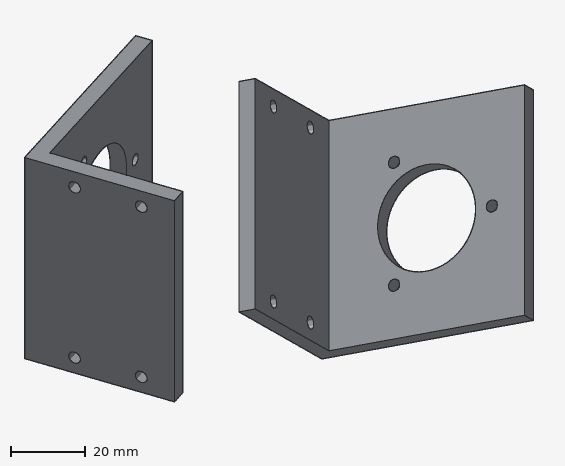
import cadquery as cq

height = 65.0
long_leg = 65.0
short_leg = 45.0
thickness = 5.0

mount_hole_diameter = 3.5
mount_spacing_x = 20.0
mount_center_x = 25.0
mount_edge_distance = thickness

bore_diameter = 30.0
bore_center_y = 35.0
screw_circle_radius = 20.0
screw_hole_diameter = 3.4
screw_count = 3


def make_angle():
    """L-shaped profile extruded along Z."""
    long_plate = cq.Workplane("XY").box(thickness, long_leg, height, centered=False)
    short_plate = cq.Workplane("XY").box(short_leg, thickness, height, centered=False)
    return long_plate.union(short_plate)


def make_mount_holes():
    """Four cylinders running along +Y through the short leg."""
    return (
        cq.Workplane("XZ", origin=(mount_center_x, 0, height / 2))
        .rarray(mount_spacing_x, height - 2 * mount_edge_distance, 2, 2)
        .circle(mount_hole_diameter / 2)
        .extrude(-thickness)
    )


def make_bore_pattern():
    """Bore and screw holes running along +X; the first screw is on the +Y side."""
    plane = cq.Workplane("YZ", origin=(0, bore_center_y, height / 2))
    bore = plane.circle(bore_diameter / 2).extrude(thickness)
    screws = (
        plane.polarArray(screw_circle_radius, 0, 360, screw_count)
        .circle(screw_hole_diameter / 2)
        .extrude(thickness)
    )
    return bore.union(screws)


result = make_angle().cut(make_mount_holes()).cut(make_bore_pattern())